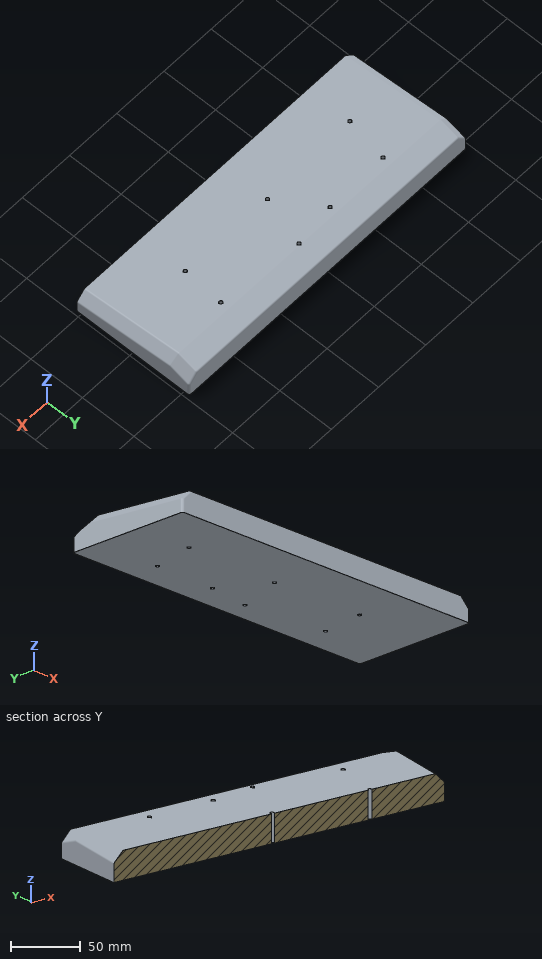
import cadquery as cq
import math

length = 293.8
width = 110.5
height = 27.0
front_height = 19.5
ridge_setback = 18.0
rear_slope_angle = 20.0

end_chamfer = 8.2
edge_radius = 2.0

hole_diameter = 3.0
hole_centers = [
    (-86.7, 29.0),
    (-29.0, 30.5),
    (9.7, 35.8),
    (85.2, 29.0),
    (-95.8, -11.5),
    (-5.5, -8.8),
    (80.5, -9.7),
]

ridge_y = width / 2 - ridge_setback
rear_height = height - ridge_setback * math.tan(math.radians(rear_slope_angle))


def make_wedge():
    """Solid with a long front slope and a short rear slope, flat at both ends."""
    profile = [
        (-width / 2, 0),
        (width / 2, 0),
        (width / 2, rear_height),
        (ridge_y, height),
        (-width / 2, front_height),
    ]
    return cq.Workplane("YZ").polyline(profile).close().extrude(length / 2, both=True)


def chamfer_ends(body):
    """Bevel the sloped top edges of both end faces."""
    sloped_end_edges = body.faces("<X or >X").edges("not(|Z)").edges("not(<Z)")
    return sloped_end_edges.chamfer(end_chamfer)


def round_edges(body):
    """Round every edge except those of the flat base."""
    return body.edges("not(<Z)").fillet(edge_radius)


def drill_holes(body):
    drills = cq.Workplane("XY").pushPoints(hole_centers).circle(hole_diameter / 2).extrude(height)
    return body.cut(drills)


result = make_wedge()
result = chamfer_ends(result)
result = round_edges(result)
result = drill_holes(result)